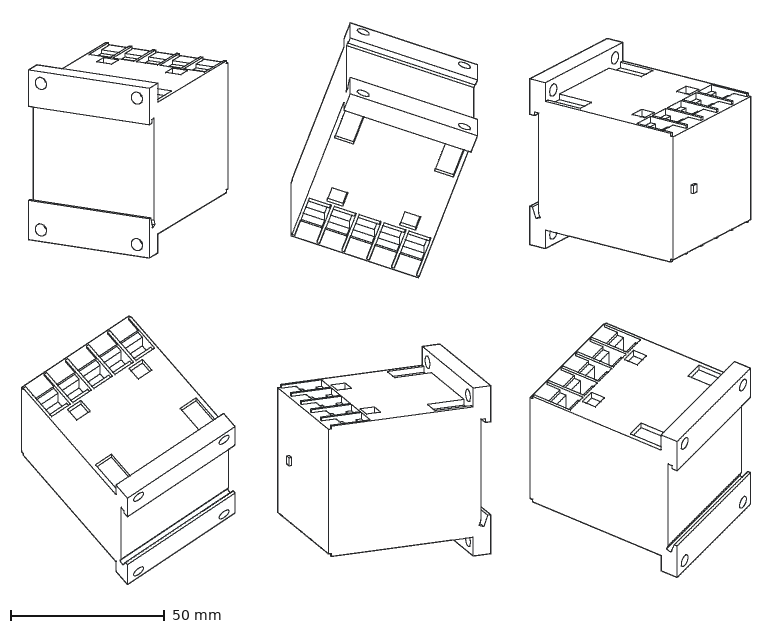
import cadquery as cq
import math

width = 44.0
depth = 57.95
height = 58.0
mid_x = width / 2
mid_z = height / 2

housing_depth = 57.0
flange_depth = 6.2
flange_rise = 6.5
front_step = 1.0
housing_top = height - flange_rise
housing_bottom = flange_rise
step_start = housing_depth - front_step

channel_depth = 3.5
hook_thickness = 2.0
hook_tip_z = 45.55
hook_root_z = 46.8
latch_tip_z = 13.45
latch_tip_thickness = 1.1
latch_slot_angle = math.radians(20)
latch_slot_length = 4.0
latch_slot_width = 1.75

hole_diameter = 4.05
hole_spacing_x = 35.0
hole_spacing_z = 50.0

terminal_count = 5
wall_thickness = 1.0
slot_width = (width - (terminal_count + 1) * wall_thickness) / terminal_count
slot_start = 42.0
shelf_end = 43.95
well_end = 48.6
ledge_end = 50.9
ledge_drop = 2.2
well_drop = 8.0

window_width = 5.5
window_length = 5.0
window_start = 36.0
window_spacing = 25.2
window_drop = 2.45

access_width = 6.5
access_end = 19.1
access_spacing = 34.6
access_drop = 2.0

indicator_width = 2.1
indicator_height = 2.8
indicator_x = 32.9


def box(x_range, y_range, z_range):
    """Axis-aligned block given by its (low, high) limits on each axis."""
    limits = (x_range, y_range, z_range)
    sizes = [high - low for low, high in limits]
    corner = tuple(low for low, high in limits)
    return cq.Workplane("XY").box(*sizes, centered=False).translate(corner)


def around(centre, size):
    return (centre - size / 2, centre + size / 2)


def make_body():
    """Side profile with both flanges, the front steps and the rail channel."""
    along_y, along_z = math.sin(latch_slot_angle), -math.cos(latch_slot_angle)
    slot_outer_y = latch_tip_thickness + latch_slot_length * along_y
    slot_outer_z = latch_tip_z + latch_slot_length * along_z
    slot_inner_y = slot_outer_y - latch_slot_width * along_z
    slot_inner_z = slot_outer_z + latch_slot_width * along_y
    slot_mouth_z = slot_inner_z + (slot_inner_y - channel_depth) / math.tan(latch_slot_angle)
    outline = [
        (0, 0),
        (flange_depth, 0),
        (flange_depth, housing_bottom),
        (step_start, housing_bottom),
        (step_start, housing_bottom + front_step),
        (housing_depth, housing_bottom + front_step),
        (housing_depth, housing_top - front_step),
        (step_start, housing_top - front_step),
        (step_start, housing_top),
        (flange_depth, housing_top),
        (flange_depth, height),
        (0, height),
        (0, hook_tip_z),
        (hook_thickness, hook_tip_z),
        (hook_thickness, hook_root_z),
        (channel_depth, hook_root_z),
        (channel_depth, slot_mouth_z),
        (slot_inner_y, slot_inner_z),
        (slot_outer_y, slot_outer_z),
        (latch_tip_thickness, latch_tip_z),
        (0, latch_tip_z),
    ]
    return cq.Workplane("YZ").polyline(outline).close().extrude(width)


def make_terminal_slot(index):
    """Stepped slot: shelf, deep well, ledge, then a platform level with the front step."""
    left = wall_thickness + index * (slot_width + wall_thickness)
    x_range = (left, left + slot_width)
    platform = box(x_range, (slot_start, housing_depth), (housing_top - front_step, housing_top))
    ledges = box(x_range, (slot_start, ledge_end), (housing_top - ledge_drop, housing_top))
    well = box(x_range, (shelf_end, well_end), (housing_top - well_drop, housing_top))
    return platform.union(ledges).union(well)


def make_recess_pair(spacing, recess_width, y_range, drop):
    z_range = (housing_top - drop, housing_top)
    left = box(around(mid_x - spacing / 2, recess_width), y_range, z_range)
    right = box(around(mid_x + spacing / 2, recess_width), y_range, z_range)
    return left.union(right)


def make_top_cuts():
    cuts = make_recess_pair(
        window_spacing, window_width, (window_start, window_start + window_length), window_drop
    )
    cuts = cuts.union(
        make_recess_pair(access_spacing, access_width, (flange_depth, access_end), access_drop)
    )
    for index in range(terminal_count):
        cuts = cuts.union(make_terminal_slot(index))
    return cuts


def make_mounting_holes():
    return (
        cq.Workplane("XZ", origin=(mid_x, 0, mid_z))
        .rarray(hole_spacing_x, hole_spacing_z, 2, 2)
        .circle(hole_diameter / 2)
        .extrude(-flange_depth)
    )


top_cuts = make_top_cuts()
bottom_cuts = top_cuts.mirror("XY", (0, 0, mid_z))
indicator = box(
    around(indicator_x, indicator_width),
    (housing_depth, depth),
    around(mid_z, indicator_height),
)

result = make_body().cut(top_cuts).cut(bottom_cuts).cut(make_mounting_holes()).union(indicator)